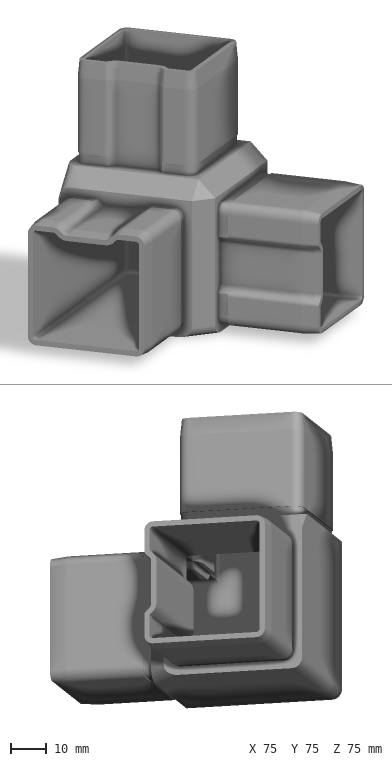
import cadquery as cq
import math


column_width = 40.0
arm_chamfer = 5.0
hub_radius = 3.0
half_column = column_width / 2
arm_reach = half_column + arm_chamfer

post_width = 35.85
post_length = 30.0
post_radius = 3.0
tip_length = 5.0
tip_inset = 0.5
neck_length = 3.0
neck_inset = 0.3
wall = 2.0
half_post = post_width / 2

half_bore = half_post - wall
bore_start = half_post - post_radius
chamber_radius = 1.2

groove_depth = 2.0
groove_floor_half = 6.45
groove_top_half = groove_floor_half + groove_depth
floor_radius = 1.45
lip_radius = 1.4
wide_lip_radius = 3.4
flank_shift = math.tan(math.radians(22.5))


def rounded_outline(plane, corners):
    """Closed outline through (x, y, radius) corners; a radius of zero stays sharp."""
    points = [cq.Vector(x, y) for x, y, _ in corners]
    rounds = []
    for i, (_, _, radius) in enumerate(corners):
        corner = points[i]
        to_previous = (points[i - 1] - corner).normalized()
        to_next = (points[(i + 1) % len(points)] - corner).normalized()
        half_angle = to_previous.getAngle(to_next) / 2
        setback = radius / math.tan(half_angle)
        middle_gap = radius / math.sin(half_angle) - radius
        bisector = (to_previous + to_next).normalized()
        rounds.append((
            corner + to_previous * setback,
            corner + bisector * middle_gap,
            corner + to_next * setback,
            radius,
        ))
    outline = cq.Workplane(plane).moveTo(*rounds[0][2].toTuple()[:2])
    for start, middle, end, radius in rounds[1:] + rounds[:1]:
        outline = outline.lineTo(start.x, start.y)
        if radius > 0:
            outline = outline.threePointArc((middle.x, middle.y), (end.x, end.y))
    return outline.close()


def post_outline(plane, lip, inset):
    """Post section shrunk by inset, with its groove on the local +Y side."""
    half = half_post - inset
    outer_radius = post_radius - inset
    top = groove_top_half + inset * flank_shift
    floor = groove_floor_half + inset * flank_shift
    floor_height = half - groove_depth
    lip_rounding = max(lip - inset, 0)
    floor_rounding = floor_radius + inset
    return rounded_outline(plane, [
        (-half, -half, outer_radius),
        (half, -half, outer_radius),
        (half, half, outer_radius),
        (top, half, lip_rounding),
        (floor, floor_height, floor_rounding),
        (-floor, floor_height, floor_rounding),
        (-top, half, lip_rounding),
        (-half, half, outer_radius),
    ])


def shifted(plane, distance):
    """The plane moved along its own normal."""
    return cq.Plane(plane.origin + plane.zDir * distance, plane.xDir, plane.zDir)


def rounded_bar(plane, width, radius, length):
    """Square bar with rounded long edges, extruded from the plane."""
    bar = cq.Workplane(plane).rect(width, width).extrude(length)
    return bar.edges(cq.selectors.ParallelDirSelector(plane.zDir)).fillet(radius)


def make_post(plane, lip):
    """Solid post standing on the hub face at arm_reach along the plane's normal."""
    base = shifted(plane, arm_reach)
    neck_top = shifted(base, neck_length)
    tip_start = shifted(base, post_length - tip_length)
    tip_end = shifted(base, post_length)
    neck_width = post_width - 2 * neck_inset

    neck_block = rounded_bar(base, neck_width, post_radius - neck_inset, neck_length)
    neck = post_outline(base, lip, 0).extrude(neck_length).intersect(neck_block)
    shank = post_outline(neck_top, lip, 0).extrude(post_length - tip_length - neck_length)
    tip = cq.Solid.makeLoft(
        [
            post_outline(tip_start, lip, 0).val(),
            post_outline(tip_end, lip, tip_inset).val(),
        ],
        True,
    )
    return neck.union(shank).union(cq.Workplane(tip))


def make_bore(plane, lip):
    """Bore following the post section to the free end, with a plain square mouth in the chamber."""
    mouth = rounded_bar(
        shifted(plane, bore_start), 2 * half_bore, post_radius - wall, half_bore - bore_start
    )
    bore_length = arm_reach + post_length - half_bore
    bore = post_outline(shifted(plane, half_bore), lip, wall).extrude(bore_length)
    return mouth.union(bore)


def corner_block(low, high):
    """Cube reaching high from the origin toward each post, and back by low."""
    size = low + high
    centre = (high - low) / 2
    return cq.Workplane("XY").box(size, size, size).translate((centre, -centre, centre))


def make_hub():
    """Cube with three bevels between the arms and rounded back edges and bevel ends."""
    hub = corner_block(half_column, arm_reach)
    hub = hub.edges("(<Y and >Z) or (>X and >Z) or (>X and <Y)").chamfer(arm_chamfer)
    bevel_middle = arm_reach - arm_chamfer / 2
    top_bevel_end = cq.selectors.NearestToPointSelector((-half_column, -bevel_middle, bevel_middle))
    side_bevel_end = cq.selectors.NearestToPointSelector((bevel_middle, -bevel_middle, -half_column))
    rounded = cq.selectors.SumSelector(
        cq.selectors.SumSelector(top_bevel_end, side_bevel_end),
        cq.selectors.StringSyntaxSelector("(<X and >Y) or (<X and <Z) or (>Y and <Z)"),
    )
    return hub.edges(rounded).fillet(hub_radius)


def make_chamber():
    """Cavity where the bores meet; its rounded back edges meet in mitres."""
    block = corner_block(half_bore, bore_start)
    chamber = block
    for back_edge in ("<X and >Y", "<X and <Z", ">Y and <Z"):
        chamber = chamber.intersect(block.edges(back_edge).fillet(chamber_radius))
    return chamber


post_frames = [
    (cq.Plane((0, 0, 0), (0, 0, 1), (1, 0, 0)), lip_radius),
    (cq.Plane((0, 0, 0), (1, 0, 0), (0, -1, 0)), wide_lip_radius),
    (cq.Plane((0, 0, 0), (-1, 0, 0), (0, 0, 1)), lip_radius),
]

result = make_hub()
for frame, lip in post_frames:
    result = result.union(make_post(frame, lip))
result = result.cut(make_chamber())
for frame, lip in post_frames:
    result = result.cut(make_bore(frame, lip))